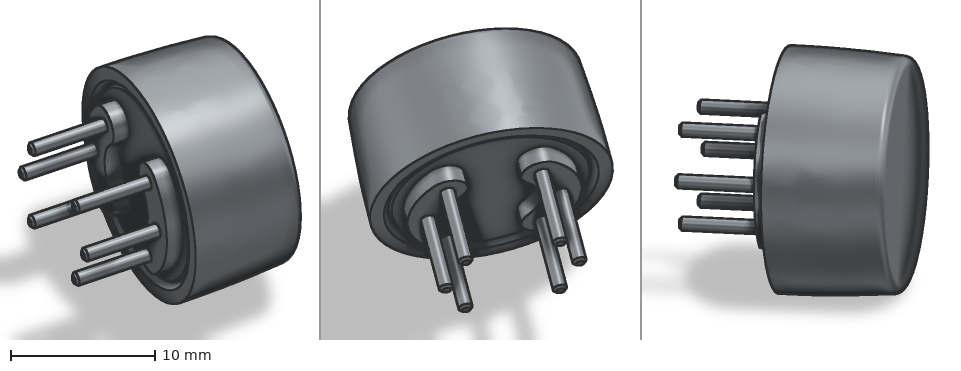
import cadquery as cq
import math

RIM_RADIUS = 8.65
BODY_HEIGHT = 8.6
CROWN_FILLET = 0.6
SHOULDER_RADIUS = 8.3
SIDE_SAG = 0.085

FLOOR_DEPTH = 0.25
GROOVE_DEPTH = 0.43
GROOVE_OUTER_RADIUS = 7.65
GROOVE_BOTTOM_RADIUS = GROOVE_OUTER_RADIUS - GROOVE_DEPTH
FLOOR_RADIUS = GROOVE_BOTTOM_RADIUS - (GROOVE_DEPTH - FLOOR_DEPTH)

PIN_CIRCLE_RADIUS = 4.75
PIN_RADIUS = 0.5
PIN_TIP_CHAMFER = 0.2
PAD_HALF_ANGLE = 45
PIN_ANGLES = (-PAD_HALF_ANGLE, 0, PAD_HALF_ANGLE)
PIN_LENGTH = 6.8

PAD_HALF_WIDTH = 1.45
PAD_HEIGHT = 1.0


def polar(radius, angle):
    """Point on a circle about the part axis, angle in degrees."""
    a = math.radians(angle)
    return (radius * math.cos(a), radius * math.sin(a))


def make_body():
    """Solid cap with a barrelled side and a rounded crown edge."""
    shoulder_y = BODY_HEIGHT - CROWN_FILLET
    crown_radius = SHOULDER_RADIUS - CROWN_FILLET
    diagonal = CROWN_FILLET * math.sqrt(0.5)
    profile = (
        cq.Workplane("ZY")
        .lineTo(RIM_RADIUS, 0)
        .threePointArc((RIM_RADIUS - SIDE_SAG, shoulder_y / 2), (SHOULDER_RADIUS, shoulder_y))
        .threePointArc((crown_radius + diagonal, shoulder_y + diagonal), (crown_radius, BODY_HEIGHT))
        .lineTo(0, BODY_HEIGHT)
        .close()
    )
    return profile.revolve(360, (0, 0, 0), (0, 1, 0))


def make_end_recess():
    """Shallow round recess in the rim face, with a V-shaped groove around its floor."""
    profile = (
        cq.Workplane("ZY")
        .lineTo(GROOVE_OUTER_RADIUS, 0)
        .lineTo(GROOVE_BOTTOM_RADIUS, GROOVE_DEPTH)
        .lineTo(FLOOR_RADIUS, FLOOR_DEPTH)
        .lineTo(0, FLOOR_DEPTH)
        .close()
    )
    return profile.revolve(360, (0, 0, 0), (0, 1, 0))


def make_pad(side_angle):
    """Kidney-shaped pad following the pin circle, centred on side_angle."""
    inner = PIN_CIRCLE_RADIUS - PAD_HALF_WIDTH
    outer = PIN_CIRCLE_RADIUS + PAD_HALF_WIDTH
    start = side_angle - PAD_HALF_ANGLE
    end = side_angle + PAD_HALF_ANGLE
    overhang = math.degrees(math.atan(PAD_HALF_WIDTH / PIN_CIRCLE_RADIUS))
    end_reach = math.hypot(PIN_CIRCLE_RADIUS, PAD_HALF_WIDTH)
    return (
        cq.Workplane("XZ", origin=(0, FLOOR_DEPTH, 0))
        .moveTo(*polar(outer, start))
        .threePointArc(polar(outer, side_angle), polar(outer, end))
        .threePointArc(polar(end_reach, end + overhang), polar(inner, end))
        .threePointArc(polar(inner, side_angle), polar(inner, start))
        .threePointArc(polar(end_reach, start - overhang), polar(outer, start))
        .close()
        .extrude(FLOOR_DEPTH + PAD_HEIGHT)
    )


def make_pins(side_angle):
    """Three round pins with chamfered tips on one pad."""
    centres = [polar(PIN_CIRCLE_RADIUS, side_angle + angle) for angle in PIN_ANGLES]
    pins = cq.Workplane("XZ").pushPoints(centres).circle(PIN_RADIUS).extrude(PIN_LENGTH)
    return pins.faces("<Y").chamfer(PIN_TIP_CHAMFER)


result = make_body().cut(make_end_recess())
for side in (0, 180):
    result = result.union(make_pad(side)).union(make_pins(side))